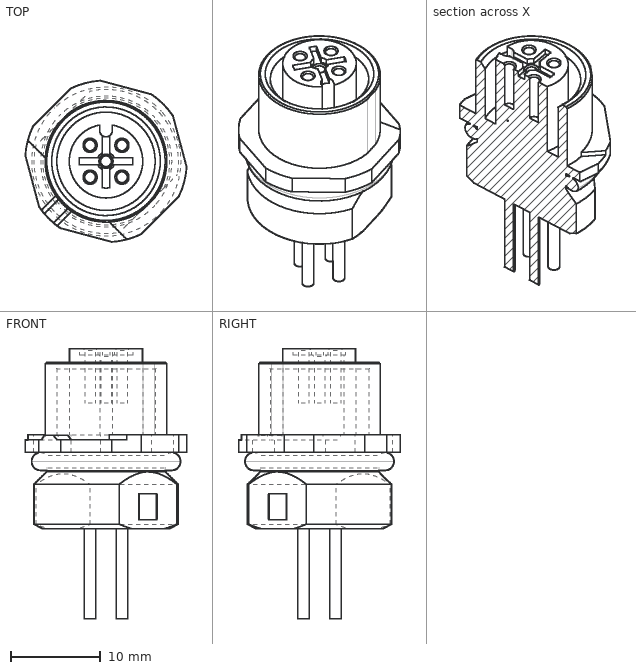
import cadquery as cq
import math

body_bottom = 10.0
flange_bottom = 18.5
flange_top = 20.5
barrel_top = 28.52
total_height = 30.05

front_flat_angle = -45
rear_flat_angle = 135
key_angle = 225
hex_turn = 15

body_radius = 8.02
body_bevel_height = 0.55
body_bevel_run = 0.95
neck_radius = 6.58
shoulder_bottom = 14.95
shoulder_top = 16.38
front_flat_distance = 6.6
rear_flat_distance = 6.8

label_width = 2.82
label_height = 2.88
label_centre_z = 12.47
label_depth = 0.1
label_corner_radius = 0.12

ring_bottom = 16.5
ring_section_radius = (flange_bottom - ring_bottom) / 2
ring_outer_radius = 8.3

flange_diameter = 18.0
across_flats = 17.0
step_depth = 0.6
step_distance = 4.5

key_height = 0.5
key_base_width = 2.45
key_top_width = key_base_width - 2 * key_height

barrel_radius = 6.75
barrel_edge_chamfer = 0.18
barrel_flat_distance = 6.7
bore_radius = 5.47
bore_mouth_radius = 6.05
bore_mouth_depth = 0.72

insert_radius = 4.1
keyway_width = 1.38
keyway_centre_y = 3.4
cross_width = 0.8
cross_radius = 2.97
cross_depth = 0.7
hub_radius = 1.0

contact_offset = 1.77
contact_hole_radius = 0.6
countersink_radius = 0.78
contact_hole_depth = 6.0
pin_radius = 0.65

cut_size = 30.05

contact_points = [(sx * contact_offset, sy * contact_offset) for sx in (-1, 1) for sy in (-1, 1)]


def cylinder(radius, bottom, top):
    return cq.Workplane("XY", origin=(0, 0, bottom)).circle(radius).extrude(top - bottom)


def half_space(distance, angle, bottom, top):
    """Block lying beyond a vertical plane at the given distance and angle from the axis."""
    block = cq.Workplane("XY", origin=(0, 0, bottom)).box(
        cut_size, cut_size, top - bottom, centered=(False, True, False)
    )
    return block.translate((distance, 0, 0)).rotate((0, 0, 0), (0, 0, 1), angle)


def make_body():
    profile = [
        (0, body_bottom),
        (body_radius - body_bevel_run, body_bottom),
        (body_radius, body_bottom + body_bevel_height),
        (body_radius, shoulder_bottom),
        (neck_radius, shoulder_top),
        (neck_radius, flange_bottom),
        (0, flange_bottom),
    ]
    body = cq.Workplane("XZ").polyline(profile).close().revolve(360, (0, 0), (0, 1))
    body = body.cut(half_space(front_flat_distance, front_flat_angle, body_bottom, flange_bottom))
    body = body.cut(half_space(rear_flat_distance, rear_flat_angle, body_bottom, flange_bottom))
    return body.cut(make_label_recess())


def make_label_recess():
    recess = cq.Workplane("XY").box(2 * label_depth, label_width, label_height)
    recess = recess.edges("|X").fillet(label_corner_radius)
    recess = recess.translate((front_flat_distance, 0, label_centre_z))
    return recess.rotate((0, 0, 0), (0, 0, 1), front_flat_angle)


def make_ring():
    centre_radius = ring_outer_radius - ring_section_radius
    section = cq.Workplane("XZ").center(centre_radius, flange_bottom - ring_section_radius)
    return section.circle(ring_section_radius).revolve(360, (-centre_radius, 0), (-centre_radius, 1))


def hex_prism(bottom, top):
    corner_diameter = across_flats / math.cos(math.pi / 6)
    prism = cq.Workplane("XY", origin=(0, 0, bottom)).polygon(6, corner_diameter).extrude(top - bottom)
    prism = prism.rotate((0, 0, 0), (0, 0, 1), hex_turn - 30)
    return prism.intersect(cylinder(flange_diameter / 2, bottom, top))


def make_flange():
    step_floor = flange_top - step_depth
    flange = hex_prism(flange_bottom, flange_top)
    flange = flange.cut(half_space(step_distance, key_angle, step_floor, flange_top))
    key_section = [
        (-key_base_width / 2, step_floor),
        (key_base_width / 2, step_floor),
        (key_top_width / 2, step_floor + key_height),
        (-key_top_width / 2, step_floor + key_height),
    ]
    key = cq.Workplane("YZ").polyline(key_section).close().extrude(flange_diameter)
    key = key.rotate((0, 0, 0), (0, 0, 1), key_angle)
    return flange.union(key.intersect(hex_prism(flange_bottom, flange_top)))


def make_barrel():
    barrel = cylinder(barrel_radius, flange_bottom, barrel_top)
    barrel = barrel.faces(">Z").edges().chamfer(barrel_edge_chamfer)
    for angle in (front_flat_angle, rear_flat_angle):
        barrel = barrel.cut(half_space(barrel_flat_distance, angle, flange_top, barrel_top))
    return barrel


def make_bore():
    profile = [
        (0, flange_top),
        (bore_radius, flange_top),
        (bore_radius, barrel_top - bore_mouth_depth),
        (bore_mouth_radius, barrel_top),
        (0, barrel_top),
    ]
    return cq.Workplane("XZ").polyline(profile).close().revolve(360, (0, 0), (0, 1))


def contact_hole(mouth_z):
    """Blind contact hole on the axis with a 45 degree countersink."""
    countersink_depth = countersink_radius - contact_hole_radius
    profile = [
        (0, mouth_z),
        (countersink_radius, mouth_z),
        (contact_hole_radius, mouth_z - countersink_depth),
        (contact_hole_radius, total_height - contact_hole_depth),
        (0, total_height - contact_hole_depth),
    ]
    return cq.Workplane("XZ").polyline(profile).close().revolve(360, (0, 0), (0, 1))


def make_insert():
    cross_floor = total_height - cross_depth
    insert = cylinder(insert_radius, flange_top, total_height)

    keyway = cq.Workplane("XY", origin=(0, keyway_centre_y, flange_top)).circle(keyway_width / 2)
    keyway = keyway.extrude(total_height - flange_top)
    keyway_mouth = cq.Workplane("XY", origin=(0, keyway_centre_y, flange_top)).box(
        keyway_width, insert_radius, total_height - flange_top, centered=(True, False, False)
    )
    insert = insert.cut(keyway).cut(keyway_mouth)

    groove = cq.Workplane("XY", origin=(0, 0, cross_floor))
    arms = groove.rect(2 * cross_radius, cross_width).extrude(cross_depth)
    arms = arms.union(groove.rect(cross_width, 2 * cross_radius).extrude(cross_depth))
    arms = arms.intersect(cylinder(cross_radius, cross_floor, total_height))
    insert = insert.cut(arms).cut(cylinder(hub_radius, cross_floor, total_height))

    insert = insert.cut(contact_hole(cross_floor))
    for x, y in contact_points:
        insert = insert.cut(contact_hole(total_height).translate((x, y, 0)))
    return insert


def make_pins():
    return cq.Workplane("XY").pushPoints(contact_points).circle(pin_radius).extrude(body_bottom)


housing = make_body().union(make_ring()).union(make_flange()).union(make_barrel())
result = housing.cut(make_bore()).union(make_insert()).union(make_pins())